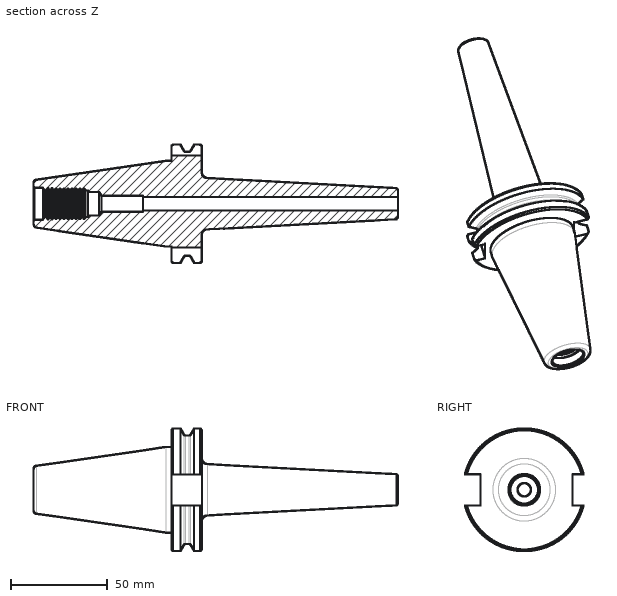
import cadquery as cq
import math

total_length = 188.2
gauge_line = 68.3
flange_start = 71.2
flange_end = 87.0
nose_start = 89.8

gauge_radius = 44.5 / 2
taper_slope = 7 / 24 / 2
tail_radius = gauge_radius - gauge_line * taper_slope
tail_fillet = 1.9

flange_radius = 63.5 / 2
flange_chamfer = 1.0
groove_center = 79.5
groove_width = 7.2
groove_floor_radius = 28.0
groove_half_angle = math.radians(30)
groove_fillet = 1.0

nose_root_radius = 13.4
nose_tip_radius = 8.1
nose_tip_chamfer = 1.0
nose_root_fillet = nose_start - flange_end

slot_width = 16.0
slot_floor_front = 22.5
slot_floor_back = 25.0

entry_chamfer = 0.5
entry_radius = 16.4 / 2
entry_depth = 4.9
thread_crest_radius = 13.5 / 2
thread_root_radius = 15.8 / 2
thread_pitch = 2.0
thread_start = 7.5
thread_turns = 10
thread_half_angle = math.radians(30)
drill_radius = 12.0 / 2
drill_depth = 33.9
drill_point_half_angle = math.radians(59)
pilot_radius = 8.1 / 2
pilot_end = 56.5
through_radius = 6.8 / 2


def body_of_revolution():
    """Taper shank, flange blank and conical nose in one turned profile."""
    fillet_middle = nose_root_fillet * (1 - math.sqrt(0.5))
    profile = (
        cq.Workplane("XY")
        .moveTo(0, 0)
        .lineTo(0, tail_radius)
        .lineTo(gauge_line, gauge_radius)
        .lineTo(flange_start, gauge_radius)
        .lineTo(flange_start, flange_radius)
        .lineTo(flange_end, flange_radius)
        .lineTo(flange_end, nose_root_radius + nose_root_fillet)
        .threePointArc(
            (flange_end + fillet_middle, nose_root_radius + fillet_middle),
            (nose_start, nose_root_radius),
        )
        .lineTo(total_length, nose_tip_radius)
        .lineTo(total_length, 0)
        .close()
    )
    body = profile.revolve(360, (0, 0, 0), (1, 0, 0))
    body = body.faces("<X").edges().fillet(tail_fillet)
    body = body.faces(">X").edges().chamfer(nose_tip_chamfer)
    rim = cq.selectors.RadiusNthSelector(-1)
    return body.edges(rim).chamfer(flange_chamfer)


def grip_groove():
    """Ring with V flanks and a rounded floor, to be cut from the flange rim."""
    depth = flange_radius - groove_floor_radius
    half_top = groove_width / 2
    half_floor = half_top - depth * math.tan(groove_half_angle)
    ring = (
        cq.Workplane("XY")
        .moveTo(groove_center - half_top, flange_radius)
        .lineTo(groove_center - half_floor, groove_floor_radius)
        .lineTo(groove_center + half_floor, groove_floor_radius)
        .lineTo(groove_center + half_top, flange_radius)
        .close()
        .revolve(360, (0, 0, 0), (1, 0, 0))
    )
    return ring.edges(cq.selectors.RadiusNthSelector(0)).fillet(groove_fillet)


def drive_slot(side, floor):
    """Block that opens a drive slot through the flange on the given Y side."""
    reach = flange_radius - floor
    center_y = side * (floor + reach / 2)
    width_x = flange_end - flange_start
    return (
        cq.Workplane("XY")
        .box(width_x, reach, slot_width)
        .translate(((flange_start + flange_end) / 2, center_y, 0))
    )


def axial_bore():
    """Stepped drawbar bore that narrows to the through hole."""
    countersink_end = entry_depth + thread_root_radius - thread_crest_radius
    thread_end = thread_start + thread_turns * thread_pitch
    drill_point_length = (drill_radius - pilot_radius) / math.tan(drill_point_half_angle)
    return (
        cq.Workplane("XY")
        .moveTo(0, 0)
        .lineTo(0, entry_radius + entry_chamfer)
        .lineTo(entry_chamfer, entry_radius)
        .lineTo(entry_depth, entry_radius)
        .lineTo(entry_depth, thread_root_radius)
        .lineTo(countersink_end, thread_crest_radius)
        .lineTo(thread_end, thread_crest_radius)
        .lineTo(thread_end, drill_radius)
        .lineTo(drill_depth, drill_radius)
        .lineTo(drill_depth + drill_point_length, pilot_radius)
        .lineTo(pilot_end, pilot_radius)
        .lineTo(pilot_end, through_radius)
        .lineTo(total_length, through_radius)
        .lineTo(total_length, 0)
        .close()
        .revolve(360, (0, 0, 0), (1, 0, 0))
    )


def thread_grooves():
    """Drawbar thread as separate V rings, one per turn, cut into the bore wall."""
    half_width = (thread_root_radius - thread_crest_radius) * math.tan(thread_half_angle)
    grooves = cq.Workplane("XY")
    for turn in range(thread_turns):
        center = thread_start + turn * thread_pitch
        ring = (
            cq.Workplane("XY")
            .moveTo(center - half_width, thread_crest_radius)
            .lineTo(center, thread_root_radius)
            .lineTo(center + half_width, thread_crest_radius)
            .close()
            .revolve(360, (0, 0, 0), (1, 0, 0))
        )
        grooves = grooves.add(ring)
    return grooves.combine()


result = (
    body_of_revolution()
    .cut(grip_groove())
    .cut(drive_slot(-1, slot_floor_front))
    .cut(drive_slot(1, slot_floor_back))
    .cut(axial_bore())
    .cut(thread_grooves())
)